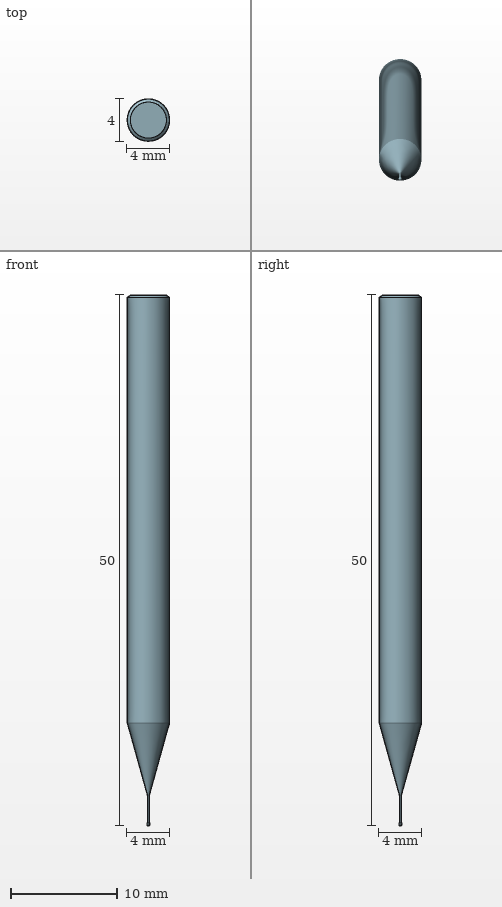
import cadquery as cq
import math

overall_length = 50.0
shank_diameter = 4.0
shank_chamfer_width = 0.3
shank_chamfer_height = 0.2
taper_top_height = 9.7
taper_bottom_height = 2.9
neck_diameter = 0.2
ball_diameter = 0.3
cutter_length = 0.3

shank_radius = shank_diameter / 2
neck_radius = neck_diameter / 2
ball_radius = ball_diameter / 2

profile_plane = cq.Plane(origin=(0, 0, 0), xDir=(0, -1, 0), normal=(-1, 0, 0))


def revolve_about_axis(profile):
    """Turn a closed radial profile a full circle about the tool axis."""
    return profile.revolve(360, (0, 0), (0, 1))


def make_holder():
    """Chamfered shank, taper and thin neck, turned as one solid."""
    profile = (
        cq.Workplane(profile_plane)
        .moveTo(0, cutter_length)
        .lineTo(neck_radius, cutter_length)
        .lineTo(neck_radius, taper_bottom_height)
        .lineTo(shank_radius, taper_top_height)
        .lineTo(shank_radius, overall_length - shank_chamfer_height)
        .lineTo(shank_radius - shank_chamfer_width, overall_length)
        .lineTo(0, overall_length)
        .close()
    )
    return revolve_about_axis(profile)


def make_cutter():
    """Short cutting head with a hemispherical end, butted against the neck."""
    arc_offset = ball_radius * math.sqrt(0.5)
    profile = (
        cq.Workplane(profile_plane)
        .moveTo(0, 0)
        .threePointArc((arc_offset, ball_radius - arc_offset), (ball_radius, ball_radius))
        .lineTo(ball_radius, cutter_length)
        .lineTo(0, cutter_length)
        .close()
    )
    return revolve_about_axis(profile)


holder = make_holder()
cutter = make_cutter()
result = cq.Compound.makeCompound([holder.val(), cutter.val()])